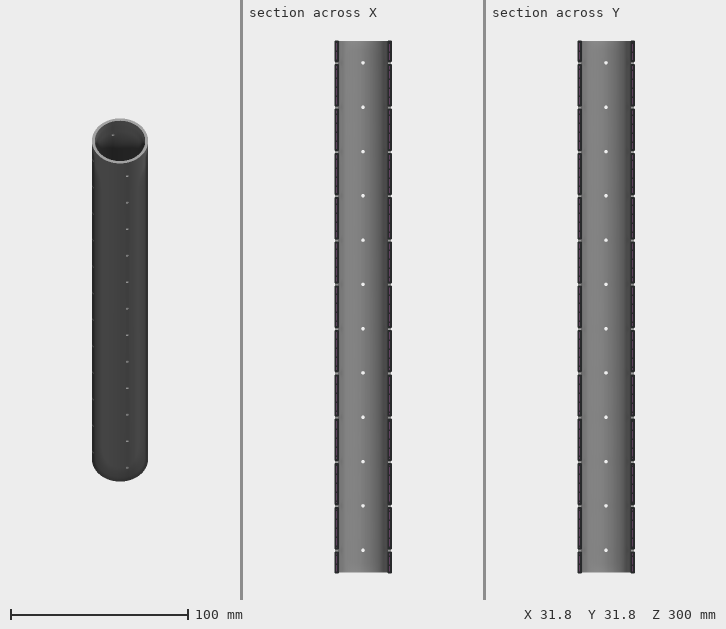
import cadquery as cq

outer_diameter = 31.75
wall_thickness = 1.65
tube_length = 300.0
inner_diameter = outer_diameter - 2 * wall_thickness

hole_diameter = 2.0
hole_count = 12
hole_pitch = tube_length / hole_count
first_hole_height = hole_pitch / 2


def make_tube():
    """Plain round tube."""
    return (
        cq.Workplane("XY")
        .circle(outer_diameter / 2)
        .circle(inner_diameter / 2)
        .extrude(tube_length)
    )


def make_hole_row(plane):
    """Evenly spaced pins along Z that reach through both walls, normal to the given plane."""
    heights = [first_hole_height + i * hole_pitch for i in range(hole_count)]
    return (
        cq.Workplane(plane)
        .pushPoints([(0, height) for height in heights])
        .circle(hole_diameter / 2)
        .extrude(outer_diameter, both=True)
    )


result = make_tube()
for plane in ("XZ", "YZ"):
    result = result.cut(make_hole_row(plane))